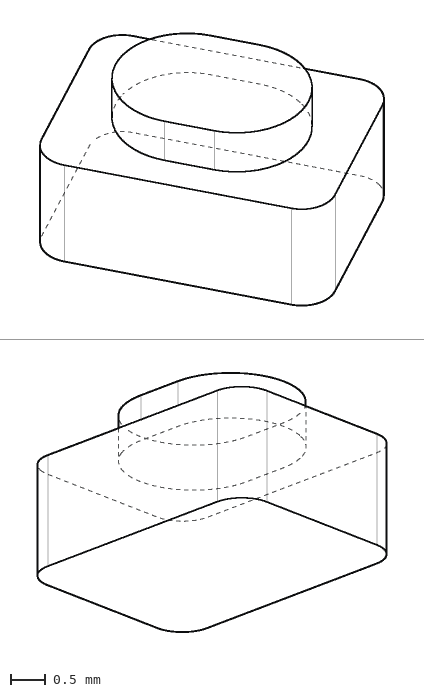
import cadquery as cq

body_length = 4.42
body_width = 3.25
body_height = 1.73
corner_radius = 0.5

overall_height = 2.43
button_length = 2.91
button_width = 2.16
button_height = overall_height - body_height


def make_body():
    """Block resting on Z = 0, centred on the Z axis."""
    block = cq.Workplane("XY").box(body_length, body_width, body_height, centered=(True, True, False))
    return block.edges("|Z").fillet(corner_radius)


def add_button(body):
    """Raise the obround button, long side along X, from the top face."""
    top_face = body.faces(">Z").workplane(origin=(0, 0, body_height))
    return top_face.slot2D(button_length, button_width).extrude(button_height)


result = add_button(make_body())